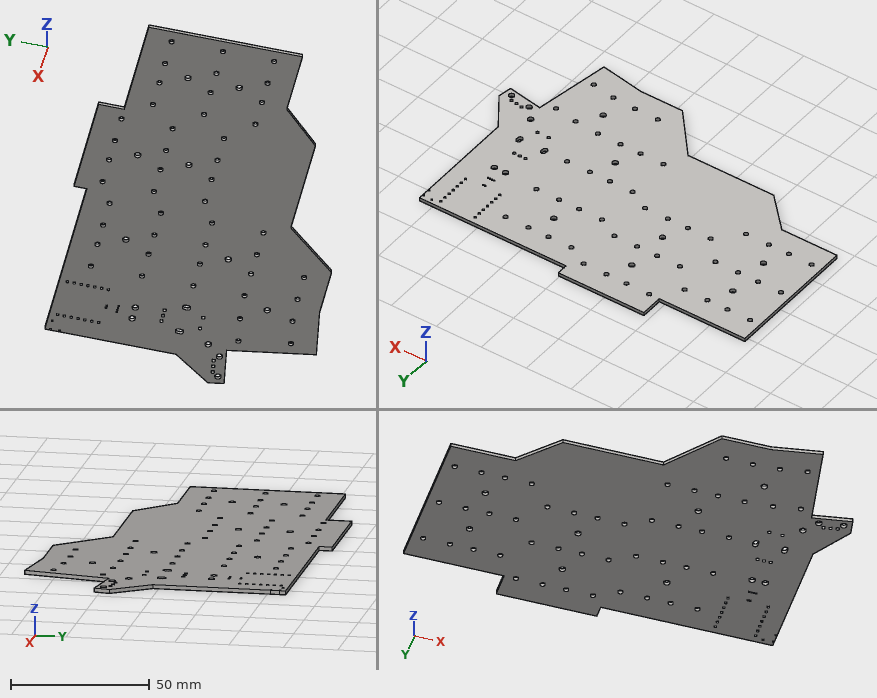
import cadquery as cq
import math

length = 151.2
depth = 103.0
thickness = 1.5

key_columns = 6
key_field_width = 114.3
pitch = key_field_width / key_columns
half_pitch = pitch / 2

middle_row = depth - 2.5 * pitch
left_row = middle_row - 0.5 * pitch
right_row = middle_row - 1.25 * pitch
thumb_row = right_row - pitch
flat_thumb_x = 102.0

column_pairs = [(0, left_row, 3), (2, middle_row, 3), (4, right_row, 4)]

thumb_tilt = 10.0
thumb_corner = (129.8, 0.0)
thumb_edge_length = 32.5

tab_height = 5.9

right_edge_x = 141.4
shoulder_y = 49.5
left_corner_x = 24.5

peg_diameter = 1.8
peg_spacing = 10.1
screw_diameter = 2.3
lone_screw = (134.3, 39.2)

header_pin_diameter = 0.89
header_columns_x = (118.7, 134.0)
header_top = 95.3
header_length = 15.3
header_pins = 7

encoder_x = 125.5
encoder_y = 50.7
encoder_pin_diameter = 1.2
encoder_pin_span = 5.0
encoder_upper_offset = 7.4
encoder_lower_offset = 7.0
encoder_slot_spacing = 11.0
encoder_slot_width = 2.0
encoder_slot_length = 3.0

slide_centre = (143.5, 35.1)
slide_pin_diameter = 1.2
slide_pin_pitch = 2.5
slide_peg_diameter = 2.3
slide_peg_offset = 4.5
slide_peg_drop = 2.0

cable_diameter = 2.3
cable_holes = [(124.3, 68.7), (129.3, 68.7)]
corner_pin_diameter = 0.65
corner_pins = [(137.2, 96.5), (141.0, 96.2), (141.0, 92.9)]
pin_pair_diameter = 0.6
pin_pair_centre = (126.5, 79.0)
pin_pair_pitch = 0.9
fine_pin_diameter = 0.5
fine_pin_centre = (126.5, 74.7)
fine_pin_pitch = 0.9


def tilted(origin, along, up):
    """Return the point reached from origin along the tilted thumb directions."""
    angle = math.radians(thumb_tilt)
    x = origin[0] + along * math.cos(angle) + up * math.sin(angle)
    y = origin[1] - along * math.sin(angle) + up * math.cos(angle)
    return (x, y)


def spread(count, spacing):
    """Return count offsets at equal spacing, centred on zero."""
    return [(i - (count - 1) / 2) * spacing for i in range(count)]


def row_of_points(centre, count, spacing):
    """Return points along X, centred on the given point."""
    return [(centre[0] + offset, centre[1]) for offset in spread(count, spacing)]


def make_plate():
    """Extrude the outline, which follows the key cells and ends in the side tab."""
    left_top = left_row + 2.5 * pitch
    right_top = right_row + 3.5 * pitch
    thumb_corner_left = tilted(thumb_corner, -pitch, 0)
    thumb_bottom = thumb_corner_left[1]
    middle_bottom = thumb_bottom + pitch
    tab_inner = tilted(thumb_corner, 0, thumb_edge_length)
    tilt = math.radians(thumb_tilt)
    tab_width = (length - tab_inner[0] - tab_height * math.sin(tilt)) / math.cos(tilt)
    outline = [
        (0, left_row - half_pitch),
        (0, left_top),
        (2 * pitch, left_top),
        (2 * pitch, depth),
        (4 * pitch, depth),
        (4 * pitch, right_top),
        (right_edge_x, right_top),
        (right_edge_x, shoulder_y),
        tilted(tab_inner, tab_width, tab_height),
        tilted(tab_inner, tab_width, 0),
        tab_inner,
        thumb_corner,
        thumb_corner_left,
        (flat_thumb_x - half_pitch, thumb_bottom),
        (4 * pitch, middle_bottom),
        (2 * pitch, middle_bottom),
        (left_corner_x, left_row - half_pitch),
    ]
    return cq.Workplane("XY").polyline(outline).close().extrude(thickness)


def peg_points():
    """Return the two peg positions of every key switch."""
    points = []
    for first_column, lowest_row, rows in column_pairs:
        for column in (first_column, first_column + 1):
            for row in range(rows):
                centre = ((column + 0.5) * pitch, lowest_row + row * pitch)
                points += row_of_points(centre, 2, peg_spacing)
    points += row_of_points((flat_thumb_x, thumb_row), 2, peg_spacing)
    for up in (half_pitch, half_pitch + pitch):
        points += [tilted(thumb_corner, offset - half_pitch, up) for offset in spread(2, peg_spacing)]
    return points


def screw_points():
    """Return the screw positions: on the edges shared by key cells, and one beside the tab."""
    return [
        (pitch, left_row + 0.5 * pitch),
        (pitch, left_row + 1.5 * pitch),
        (3 * pitch, middle_row + 0.5 * pitch),
        (3 * pitch, middle_row + 1.5 * pitch),
        (5 * pitch, right_row + 0.5 * pitch),
        (5 * pitch, right_row + 2.5 * pitch),
        (6 * pitch, right_row - 0.5 * pitch),
        lone_screw,
    ]


def header_points():
    """Return the pin positions of both header rows."""
    step = header_length / (header_pins - 1)
    return [(x, header_top - i * step) for x in header_columns_x for i in range(header_pins)]


def encoder_points():
    """Return the encoder pin positions above and below its centre."""
    upper = row_of_points((encoder_x, encoder_y + encoder_upper_offset), 3, encoder_pin_span / 2)
    lower = row_of_points((encoder_x, encoder_y - encoder_lower_offset), 2, encoder_pin_span)
    return upper + lower


def encoder_slots():
    """Return the two upright mounting slots as solids to cut away."""
    return (
        cq.Workplane("XY")
        .pushPoints(row_of_points((encoder_x, encoder_y), 2, encoder_slot_spacing))
        .slot2D(encoder_slot_length, encoder_slot_width, 90)
        .extrude(thickness)
    )


def drill(plate, points, diameter):
    """Cut round through holes at the given points."""
    pins = cq.Workplane("XY").pushPoints(points).circle(diameter / 2).extrude(thickness)
    return plate.cut(pins)


slide_pins = [tilted(slide_centre, offset, 0) for offset in spread(3, slide_pin_pitch)]
slide_pegs = [tilted(slide_centre, side * slide_peg_offset, -slide_peg_drop) for side in (-1, 1)]

result = make_plate().cut(encoder_slots())
result = drill(result, peg_points(), peg_diameter)
result = drill(result, screw_points(), screw_diameter)
result = drill(result, header_points(), header_pin_diameter)
result = drill(result, encoder_points(), encoder_pin_diameter)
result = drill(result, slide_pins, slide_pin_diameter)
result = drill(result, slide_pegs, slide_peg_diameter)
result = drill(result, cable_holes, cable_diameter)
result = drill(result, corner_pins, corner_pin_diameter)
result = drill(result, row_of_points(pin_pair_centre, 2, pin_pair_pitch), pin_pair_diameter)
result = drill(result, row_of_points(fine_pin_centre, 4, fine_pin_pitch), fine_pin_diameter)